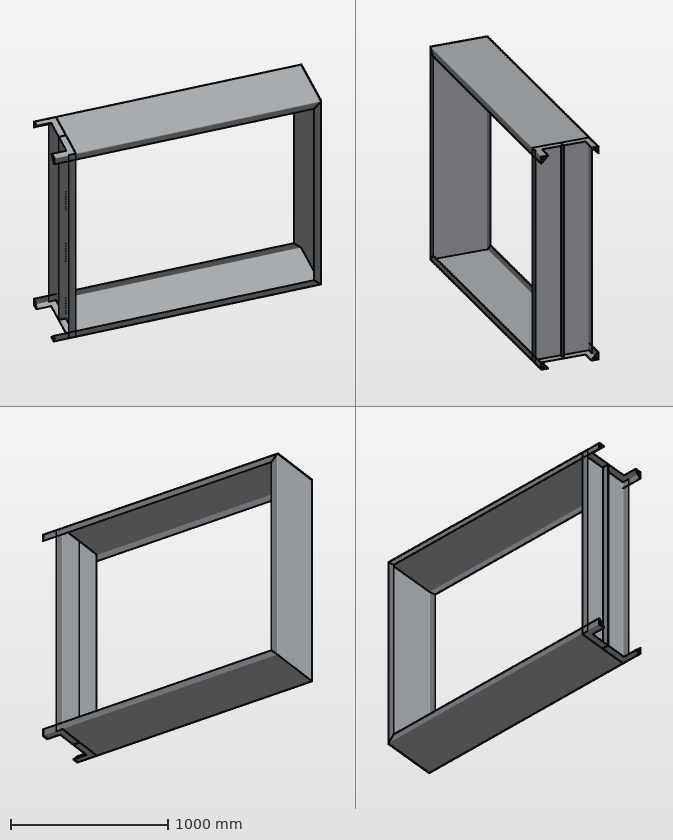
import cadquery as cq

width = 400.0
depth = 1800.0
height = 1500.0

sheet = 2.5
inner_radius = 3.5
outer_radius = inner_radius + sheet
flange = 50.0

leg_length = 100.0
leg_width = flange

gusset_thickness = 5.0
gusset_hole_diameter = 12.0
gusset_hole_inset = 16.0

front_y = -depth / 2
back_y = depth / 2
leaf_front_y = front_y + leg_length
leaf_back_y = leaf_front_y + flange
inside_width = width - 2 * sheet
inside_height = height - 2 * sheet
leaf_width = inside_width / 2


def channel(web_width, length):
    """U channel along Y, centred on the origin, with its web on top at Z = 0."""
    outer = (
        cq.Workplane("XY")
        .box(web_width, length, flange, centered=(True, True, False))
        .edges("|Y and >Z")
        .fillet(outer_radius)
    )
    inner = (
        cq.Workplane("XY")
        .box(web_width - 2 * sheet, length, flange - sheet, centered=(True, True, False))
        .edges("|Y and >Z")
        .fillet(inner_radius)
    )
    return outer.cut(inner).translate((0, 0, -flange))


def mitre_cutter(end_y):
    """Wedge that cuts the +Y end of a channel at 45 degrees, its tip on the web's outer edge."""
    return (
        cq.Workplane("YZ")
        .polyline([(end_y, 0), (end_y, -flange), (end_y - flange, -flange)])
        .close()
        .extrude(width / 2, both=True)
    )


def make_top_panel():
    """Top channel, mitred at the back and notched at the front so that two L-shaped legs remain."""
    panel = channel(width, depth).cut(mitre_cutter(back_y))
    opening_width = width - 2 * leg_width
    notch = (
        cq.Workplane("XY")
        .box(opening_width, leg_length, flange, centered=(True, False, False))
        .translate((0, front_y, -flange))
    )
    return panel.cut(notch).translate((0, 0, height / 2))


def make_back_panel():
    """Back channel, mitred at both ends and turned so that its web faces +Y."""
    cutter = mitre_cutter(height / 2)
    panel = channel(width, height).cut(cutter).cut(cutter.mirror("XZ"))
    return panel.rotate((0, 0, 0), (1, 0, 0), -90).translate((0, back_y, 0))


def make_inside_envelope():
    """Space inside the top and bottom channels, with the bend radius along its Y edges."""
    return cq.Workplane("XY").box(inside_width, depth, inside_height).edges("|Y").fillet(inner_radius)


def make_door_leaf():
    """Upright channel on the -X half, its web facing +Y and its flanges pointing to -Y."""
    leaf = channel(leaf_width, inside_height).rotate((0, 0, 0), (1, 0, 0), -90)
    return leaf.translate((-leaf_width / 2, leaf_back_y, 0)).intersect(make_inside_envelope())


def make_gusset():
    """Drilled triangle closing the end of the leg at -X, +Z."""
    corner_x = -inside_width / 2
    corner_z = inside_height / 2
    side = flange - sheet
    plate = (
        cq.Workplane("XZ", origin=(0, front_y, 0))
        .polyline([(corner_x, corner_z), (corner_x + side, corner_z), (corner_x, corner_z - side)])
        .close()
        .extrude(-gusset_thickness)
    )
    hole_x = -width / 2 + gusset_hole_inset
    hole_z = height / 2 - gusset_hole_inset
    hole = (
        cq.Workplane("XZ", origin=(hole_x, front_y, hole_z))
        .circle(gusset_hole_diameter / 2)
        .extrude(-gusset_thickness)
    )
    return plate.cut(hole).intersect(make_inside_envelope())


top_panel = make_top_panel()
bottom_panel = top_panel.mirror("XY")
back_panel = make_back_panel()

left_leaf = make_door_leaf()
right_leaf = left_leaf.mirror("YZ")

upper_gusset = make_gusset()
gussets = []
for gusset in (upper_gusset, upper_gusset.mirror("XY")):
    gussets.append(gusset.val())
    gussets.append(gusset.mirror("YZ").val())

result = cq.Compound.makeCompound(
    [top_panel.val(), bottom_panel.val(), back_panel.val(), left_leaf.val(), right_leaf.val(), *gussets]
)